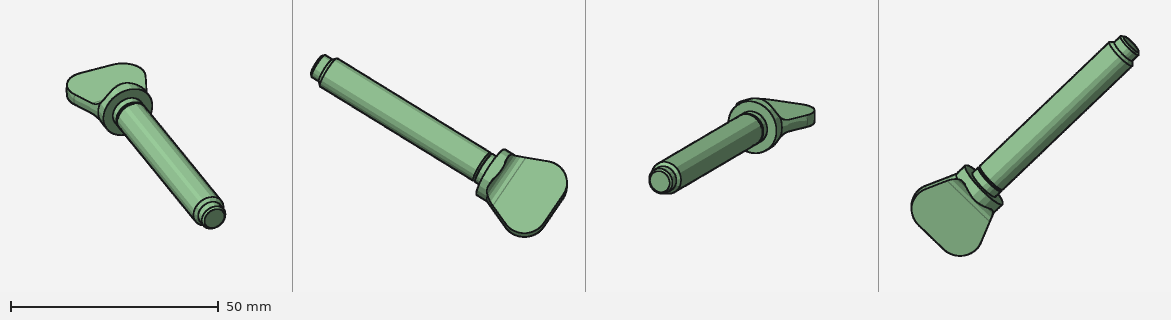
import cadquery as cq
import math


total_length = 68.0
head_length = 18.0
flange_thickness = 3.0
neck_length = 2.0
tip_length = 2.6

flange_radius = 13.0 / 2
shank_radius = 8.0 / 2
tip_radius = 6.3 / 2

shank_start_chamfer = 0.55
tip_chamfer = 0.5

wing_width = 20.0
wing_thickness = 3.0
wing_corner_radius = 5.5
scoop_radius = 3.0

flange_start_x = head_length - flange_thickness
shank_start_x = head_length + neck_length
tip_start_x = total_length - tip_length
shank_end_chamfer = shank_radius - tip_radius
wing_radius = wing_width / 2
wing_face_z = wing_thickness / 2
scoop_center_z = wing_face_z + scoop_radius
scoop_center_x = flange_start_x - math.sqrt(scoop_radius**2 - (flange_radius - scoop_center_z) ** 2)


def make_turned_body():
    """The whole screw as turned: round-cornered head, taper, flange, neck, shank and tip."""
    corner_x = wing_corner_radius
    corner_y = wing_radius - wing_corner_radius
    rim_dx = flange_start_x - corner_x
    rim_dy = flange_radius - corner_y
    rim_distance = math.hypot(rim_dx, rim_dy)
    taper_angle = math.atan2(rim_dy, rim_dx) + math.acos(wing_corner_radius / rim_distance)
    taper_start = (
        corner_x + wing_corner_radius * math.cos(taper_angle),
        corner_y + wing_corner_radius * math.sin(taper_angle),
    )
    mid_angle = (taper_angle + math.pi) / 2
    corner_middle = (
        corner_x + wing_corner_radius * math.cos(mid_angle),
        corner_y + wing_corner_radius * math.sin(mid_angle),
    )
    profile = (
        cq.Workplane("XY")
        .moveTo(0, 0)
        .lineTo(0, corner_y)
        .threePointArc(corner_middle, taper_start)
        .lineTo(flange_start_x, flange_radius)
        .lineTo(head_length, flange_radius)
        .lineTo(head_length, shank_radius)
        .lineTo(shank_start_x, shank_radius)
        .lineTo(shank_start_x, shank_radius - shank_start_chamfer)
        .lineTo(shank_start_x + shank_start_chamfer, shank_radius)
        .lineTo(tip_start_x - shank_end_chamfer, shank_radius)
        .lineTo(tip_start_x, tip_radius)
        .lineTo(total_length - tip_chamfer, tip_radius)
        .lineTo(total_length, tip_radius - tip_chamfer)
        .lineTo(total_length, 0)
        .close()
    )
    return profile.revolve(360, (0, 0, 0), (1, 0, 0))


def make_upper_scoop():
    """Material cleared above the upper wing face, ending in a round scoop in the flange."""
    return (
        cq.Workplane("XZ")
        .moveTo(0, wing_face_z)
        .lineTo(scoop_center_x, wing_face_z)
        .threePointArc(
            (scoop_center_x + scoop_radius, scoop_center_z),
            (flange_start_x, flange_radius),
        )
        .lineTo(flange_start_x, wing_radius)
        .lineTo(0, wing_radius)
        .close()
        .extrude(wing_radius, both=True)
    )


upper_scoop = make_upper_scoop()
lower_scoop = upper_scoop.mirror("XY")
result = make_turned_body().cut(upper_scoop).cut(lower_scoop)